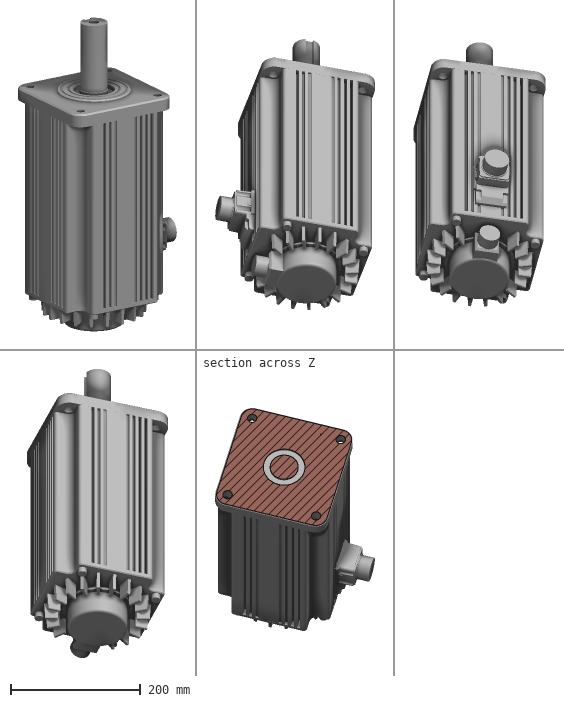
import cadquery as cq
import math

FLANGE_SIDE = 180.0
BODY_INSET = 0.1
BODY_SIDE = FLANGE_SIDE - 2 * BODY_INSET
BODY_HALF = BODY_SIDE / 2
SHAFT_END_Z = 489.0
PILOT_TOP_Z = 380.5
FLANGE_TOP_Z = 377.0
FLANGE_THICKNESS = 20.5
FLANGE_BOTTOM_Z = FLANGE_TOP_Z - FLANGE_THICKNESS
END_PLATE_BOTTOM_Z = 47.0
END_PLATE_THICKNESS = 7.5
END_PLATE_TOP_Z = END_PLATE_BOTTOM_Z + END_PLATE_THICKNESS
OVERLAP = 5.0

FLANGE_CORNER_RADIUS = 20.0
FLANGE_CHAMFER = 2.5
MOUNT_HOLE_OFFSET = 71.0
MOUNT_HOLE_RADIUS = 7.0
PILOT_RADIUS = 57.0
PILOT_CHAMFER = 1.5
FACE_GROOVE_DEPTH = 1.5
FACE_GROOVES = ((49.0, 53.0), (37.5, 41.0))
SHAFT_BORE_RADIUS = 32.0
SHAFT_BORE_DEPTH = 8.0
SHAFT_BORE_CHAMFER = 1.0

SHAFT_RADIUS = 21.0
SHAFT_SEAT_RADIUS = 22.0
SHAFT_SEAT_TOP_Z = 381.5
SHAFT_SEAT_CHAMFER = 1.5
KEYWAY_WIDTH = 11.5
KEYWAY_FLOOR = 15.5
KEYWAY_END_Z = 399.0
CENTRE_HOLE_RADIUS = 8.5
CENTRE_HOLE_DEPTH = 34.0
DRILL_TIP_ANGLE = 118.0

NOTCH_OFFSET = 60.5
NOTCH_INNER_RADIUS = 10.5
NOTCH_EDGE_RADIUS = 5.5
GROOVE_WIDTH = 5.0
GROOVE_FIRST = 18.5
GROOVE_LAST = 48.5
GROOVES_BESIDE_BOLT = 3
GROOVES_OTHER_SIDE = 4
GROOVE_PITCH = (GROOVE_LAST - GROOVE_FIRST) / (GROOVES_OTHER_SIDE - 1)
GROOVE_FLOOR_RADIUS = 89.0
END_PLATE_CHAMFER = 1.5

BOLT_EDGE_OFFSET = 77.5
BOLT_SIDE_OFFSET = 51.5
BOLT_HEAD_RADIUS = 7.0
BOLT_HEAD_HEIGHT = 9.0
FIN_COUNT = 20
FIN_WIDTH = 5.0
FIN_TOP_RADIUS = 82.5
FIN_BOTTOM_RADIUS = 80.5
FIN_INNER_RADIUS = 61.0
FIN_BOTTOM_Z = 19.0
FIN_CHAMFER = 1.0
FIN_GAP_HALF_ANGLE = 20.0
COVER_RADIUS = 46.5
COVER_EDGE_RADIUS = 4.5
COVER_RIM_RADIUS = 54.0
COVER_RIM_BOTTOM_Z = 36.5
COVER_RIM_TOP_Z = 39.5

ENCODER_AXIS_Z = 20.5
ENCODER_RADIUS = 16.0
ENCODER_END_Y = 83.5
ENCODER_BOX_END_Y = 64.0
ENCODER_BOX_HALF_SIDE = 19.0
ENCODER_BOX_CHAMFER = 3.5

POWER_AXIS_Z = 126.0
POWER_PLUG_RADIUS = 19.0
POWER_PLUG_END_Y = 140.5
POWER_RING_RADIUS = 20.5
POWER_RING_END_Y = 121.0
POWER_COLLAR_END_Y = 120.0
POWER_COLLAR_HALF_WIDTH = 23.0
POWER_COLLAR_HALF_HEIGHT = 22.0
POWER_BOX_END_Y = 117.5
POWER_BOX_HALF_WIDTH = 25.5
POWER_BOX_HALF_HEIGHT = 25.0
POWER_BOX_DRAFT = 3.0
POWER_BOX_EDGE_RADIUS = 5.0
SCREW_CHANNEL_RADIUS = 5.0
SCREW_CHANNEL_OFFSET_Z = 14.0
SCREW_CHANNEL_FLOOR_Y = 95.5
POWER_BASE_HALF_WIDTH = 24.5
POWER_BASE_BOTTOM_Z = 71.5
POWER_BASE_END_Y = 102.0
POWER_BASE_CHAMFER = 8.0
POWER_BASE_STEP_Y = 98.0
POWER_BASE_STEP_Z = 92.0
POWER_BASE_STEP_HALF_WIDTH = 17.0
POWER_FOOT_HALF_WIDTH = 27.5
POWER_FOOT_HALF_HEIGHT = 24.0
POWER_FOOT_END_Y = 95.0
POWER_FOOT_CHAMFER = 2.0
CLIP_HALF_WIDTH = 26.0
CLIP_HALF_HEIGHT = 6.5
CLIP_END_Y = 100.5


def rod(radius, bottom_z, top_z):
    """Cylinder on the Z axis."""
    return cq.Workplane("XY").workplane(offset=bottom_z).circle(radius).extrude(top_z - bottom_z)


def block(x_range, y_range, z_range):
    """Box given by its limits along each axis."""
    sizes = [high - low for low, high in (x_range, y_range, z_range)]
    corner = (x_range[0], y_range[0], z_range[0])
    return cq.Workplane("XY").box(*sizes, centered=False).translate(corner)


def y_rod(radius, x, z, start_y, end_y):
    """Cylinder along Y."""
    return (
        cq.Workplane("XZ", origin=(0, start_y, 0))
        .center(x, z)
        .circle(radius)
        .extrude(start_y - end_y)
    )


def notched_square(side, bottom_z, top_z):
    """Square prism whose four corners are notched around the mounting bolts."""
    height = top_z - bottom_z
    prism = cq.Workplane("XY").workplane(offset=bottom_z).rect(side, side).extrude(height)
    notch_side = 2 * (side / 2 - NOTCH_OFFSET)
    notches = (
        cq.Workplane("XY")
        .workplane(offset=bottom_z)
        .rect(side, side, forConstruction=True)
        .vertices()
        .rect(notch_side, notch_side)
        .extrude(height)
    )
    prism = prism.cut(notches.edges("|Z").fillet(NOTCH_INNER_RADIUS))
    return prism.edges("|Z and (>X or <X or >Y or <Y)").fillet(NOTCH_EDGE_RADIUS)


def face_grooves():
    """Cooling grooves of the -Y face; the side with the cover bolt has one groove fewer.

    The slots start deeper than any groove and are trimmed by the floor circle.
    """
    right = [GROOVE_FIRST + i * GROOVE_PITCH for i in range(GROOVES_OTHER_SIDE)]
    left = [-(GROOVE_FIRST + i * GROOVE_PITCH) for i in range(GROOVES_BESIDE_BOLT)]
    slot_depth = BODY_HALF / 2
    slots = (
        cq.Workplane("XY")
        .workplane(offset=END_PLATE_TOP_Z)
        .pushPoints([(x, -BODY_HALF) for x in right + left])
        .rect(GROOVE_WIDTH, 2 * slot_depth)
        .extrude(FLANGE_BOTTOM_Z - END_PLATE_TOP_Z)
    )
    return slots.cut(rod(GROOVE_FLOOR_RADIUS, END_PLATE_TOP_Z, FLANGE_BOTTOM_Z))


def make_body():
    body = notched_square(BODY_SIDE, END_PLATE_TOP_Z, FLANGE_BOTTOM_Z)
    grooves = face_grooves()
    for quarter in range(4):
        body = body.cut(grooves.rotate((0, 0, 0), (0, 0, 1), 90 * quarter))
    end_plate = notched_square(FLANGE_SIDE, END_PLATE_BOTTOM_Z, END_PLATE_TOP_Z)
    end_plate = end_plate.faces("<Z").edges().chamfer(END_PLATE_CHAMFER)
    return body.union(end_plate)


def make_flange():
    plate = (
        cq.Workplane("XY")
        .workplane(offset=FLANGE_BOTTOM_Z)
        .rect(FLANGE_SIDE, FLANGE_SIDE)
        .extrude(FLANGE_THICKNESS)
        .edges("|Z")
        .fillet(FLANGE_CORNER_RADIUS)
        .faces(">Z")
        .edges()
        .chamfer(FLANGE_CHAMFER)
    )
    holes = (
        cq.Workplane("XY")
        .workplane(offset=FLANGE_BOTTOM_Z)
        .rect(2 * MOUNT_HOLE_OFFSET, 2 * MOUNT_HOLE_OFFSET, forConstruction=True)
        .vertices()
        .circle(MOUNT_HOLE_RADIUS)
        .extrude(FLANGE_THICKNESS)
    )
    pilot = rod(PILOT_RADIUS, FLANGE_TOP_Z - OVERLAP, PILOT_TOP_Z)
    pilot = pilot.faces(">Z").edges().chamfer(PILOT_CHAMFER)
    flange = plate.cut(holes).union(pilot)

    groove_bottom = PILOT_TOP_Z - FACE_GROOVE_DEPTH
    for inner_radius, outer_radius in FACE_GROOVES:
        ring = rod(outer_radius, groove_bottom, PILOT_TOP_Z)
        flange = flange.cut(ring.cut(rod(inner_radius, groove_bottom, PILOT_TOP_Z)))

    bore = rod(SHAFT_BORE_RADIUS, PILOT_TOP_Z - SHAFT_BORE_DEPTH, PILOT_TOP_Z)
    countersink = cq.Solid.makeCone(
        SHAFT_BORE_RADIUS,
        SHAFT_BORE_RADIUS + SHAFT_BORE_CHAMFER,
        SHAFT_BORE_CHAMFER,
        pnt=(0, 0, PILOT_TOP_Z - SHAFT_BORE_CHAMFER),
    )
    return flange.cut(bore).cut(cq.Workplane(countersink))


def make_shaft():
    seat_bottom = PILOT_TOP_Z - SHAFT_BORE_DEPTH - OVERLAP
    shaft = rod(SHAFT_SEAT_RADIUS, seat_bottom, SHAFT_SEAT_TOP_Z)
    shaft = shaft.faces(">Z").edges().chamfer(SHAFT_SEAT_CHAMFER)
    shaft = shaft.union(rod(SHAFT_RADIUS, SHAFT_SEAT_TOP_Z - OVERLAP, SHAFT_END_Z))

    round_centre_z = KEYWAY_END_Z + KEYWAY_WIDTH / 2
    keyway = block(
        (-SHAFT_RADIUS - OVERLAP, -KEYWAY_FLOOR),
        (-KEYWAY_WIDTH / 2, KEYWAY_WIDTH / 2),
        (round_centre_z, SHAFT_END_Z),
    )
    keyway_end = (
        cq.Workplane("YZ", origin=(-KEYWAY_FLOOR, 0, round_centre_z))
        .circle(KEYWAY_WIDTH / 2)
        .extrude(-SHAFT_RADIUS)
    )
    tip_depth = CENTRE_HOLE_RADIUS / math.tan(math.radians(DRILL_TIP_ANGLE / 2))
    centre_hole = (
        cq.Workplane("XZ")
        .moveTo(0, SHAFT_END_Z)
        .lineTo(CENTRE_HOLE_RADIUS, SHAFT_END_Z)
        .lineTo(CENTRE_HOLE_RADIUS, SHAFT_END_Z - CENTRE_HOLE_DEPTH)
        .lineTo(0, SHAFT_END_Z - CENTRE_HOLE_DEPTH - tip_depth)
        .close()
        .revolve(360, (0, 0, 0), (0, 1, 0))
    )
    return shaft.cut(keyway).cut(keyway_end).cut(centre_hole)


def make_fins():
    """Radial cooling fins under the end plate, with a gap at the encoder connector."""
    fin = (
        cq.Workplane("XZ")
        .moveTo(FIN_INNER_RADIUS, END_PLATE_BOTTOM_Z + OVERLAP / 2)
        .lineTo(FIN_TOP_RADIUS, END_PLATE_BOTTOM_Z + OVERLAP / 2)
        .lineTo(FIN_BOTTOM_RADIUS, FIN_BOTTOM_Z)
        .lineTo(FIN_INNER_RADIUS, FIN_BOTTOM_Z)
        .close()
        .extrude(FIN_WIDTH / 2, both=True)
        .faces("<Z")
        .edges("|X")
        .chamfer(FIN_CHAMFER)
    )
    step = 360 / FIN_COUNT
    fins = cq.Workplane("XY")
    for i in range(FIN_COUNT):
        angle = -90 + i * step
        if abs(angle - 90) > FIN_GAP_HALF_ANGLE:
            fins = fins.union(fin.rotate((0, 0, 0), (0, 0, 1), angle))
    return fins


def make_bolt_heads():
    head_bottom = END_PLATE_BOTTOM_Z - BOLT_HEAD_HEIGHT
    head = rod(BOLT_HEAD_RADIUS, head_bottom, END_PLATE_BOTTOM_Z + OVERLAP / 2)
    head = head.translate((-BOLT_SIDE_OFFSET, -BOLT_EDGE_OFFSET, 0))
    heads = cq.Workplane("XY")
    for quarter in range(4):
        heads = heads.union(head.rotate((0, 0, 0), (0, 0, 1), 90 * quarter))
    return heads


def make_cover():
    cover = rod(COVER_RADIUS, 0, END_PLATE_BOTTOM_Z + OVERLAP / 2)
    cover = cover.faces("<Z").edges().fillet(COVER_EDGE_RADIUS)
    return cover.union(rod(COVER_RIM_RADIUS, COVER_RIM_BOTTOM_Z, COVER_RIM_TOP_Z))


def make_encoder_connector():
    box = block(
        (-ENCODER_BOX_HALF_SIDE, ENCODER_BOX_HALF_SIDE),
        (0, ENCODER_BOX_END_Y),
        (ENCODER_AXIS_Z - ENCODER_BOX_HALF_SIDE, ENCODER_AXIS_Z + ENCODER_BOX_HALF_SIDE),
    )
    box = box.faces(">Y").edges().chamfer(ENCODER_BOX_CHAMFER)
    return box.union(y_rod(ENCODER_RADIUS, 0, ENCODER_AXIS_Z, 0, ENCODER_END_Y))


def power_block(half_width, half_height, end_y, start_y=BODY_HALF - OVERLAP / 2):
    """Block centred on the power plug; by default it starts inside the body."""
    return block(
        (-half_width, half_width),
        (start_y, end_y),
        (POWER_AXIS_Z - half_height, POWER_AXIS_Z + half_height),
    )


def make_power_connector():
    root_y = BODY_HALF - OVERLAP / 2
    housing = (
        cq.Workplane("XZ", origin=(0, root_y, POWER_AXIS_Z))
        .sketch()
        .rect(2 * POWER_BOX_HALF_WIDTH, 2 * POWER_BOX_HALF_HEIGHT)
        .vertices()
        .fillet(POWER_BOX_EDGE_RADIUS)
        .finalize()
        .extrude(root_y - POWER_BOX_END_Y, taper=POWER_BOX_DRAFT)
    )

    base_z = (POWER_BASE_BOTTOM_Z, POWER_AXIS_Z)
    base = block((-POWER_BASE_HALF_WIDTH, POWER_BASE_HALF_WIDTH), (root_y, POWER_BASE_END_Y), base_z)
    base = base.faces("<Z").edges(">Y").chamfer(POWER_BASE_CHAMFER)
    for side in (-1, 1):
        step_x = sorted((side * POWER_BASE_STEP_HALF_WIDTH, side * POWER_BASE_HALF_WIDTH))
        step_z = (POWER_BASE_BOTTOM_Z, POWER_BASE_STEP_Z)
        base = base.cut(block(step_x, (POWER_BASE_STEP_Y, POWER_BASE_END_Y), step_z))
    foot = power_block(POWER_FOOT_HALF_WIDTH, POWER_FOOT_HALF_HEIGHT, POWER_FOOT_END_Y)
    foot = foot.faces(">Y").edges("|Z").chamfer(POWER_FOOT_CHAMFER)
    clips = power_block(CLIP_HALF_WIDTH, CLIP_HALF_HEIGHT, CLIP_END_Y)

    connector = housing.union(base)
    for x in (-POWER_BOX_HALF_WIDTH, POWER_BOX_HALF_WIDTH):
        for z in (POWER_AXIS_Z - SCREW_CHANNEL_OFFSET_Z, POWER_AXIS_Z + SCREW_CHANNEL_OFFSET_Z):
            channel = y_rod(SCREW_CHANNEL_RADIUS, x, z, SCREW_CHANNEL_FLOOR_Y, POWER_BOX_END_Y)
            connector = connector.cut(channel)

    collar = power_block(
        POWER_COLLAR_HALF_WIDTH,
        POWER_COLLAR_HALF_HEIGHT,
        POWER_COLLAR_END_Y,
        start_y=POWER_BOX_END_Y,
    )
    collar = collar.edges("|Y").fillet(POWER_BOX_EDGE_RADIUS)
    ring = y_rod(POWER_RING_RADIUS, 0, POWER_AXIS_Z, POWER_BOX_END_Y, POWER_RING_END_Y)
    plug = y_rod(POWER_PLUG_RADIUS, 0, POWER_AXIS_Z, POWER_BOX_END_Y - OVERLAP, POWER_PLUG_END_Y)
    return connector.union(foot).union(clips).union(collar).union(ring).union(plug)


result = (
    make_body()
    .union(make_flange())
    .union(make_shaft())
    .union(make_cover())
    .union(make_fins())
    .union(make_bolt_heads())
    .union(make_encoder_connector())
    .union(make_power_connector())
)